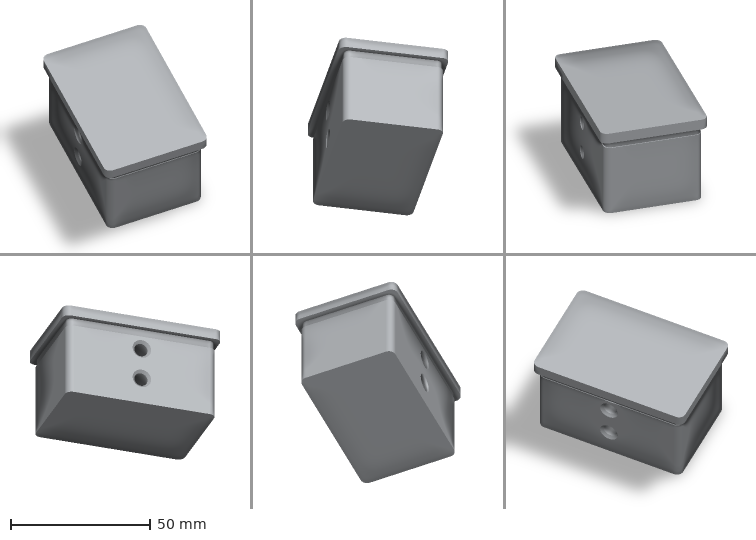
import cadquery as cq

cap_length = 60.0
cap_width = 40.0
total_height = 34.0

body_height = 27.0
neck_height = 3.0
cap_height = total_height - body_height - neck_height

cap_overhang = 1.6
groove_depth = 0.4
corner_radius = 2.5

body_length = cap_length - 2 * cap_overhang
body_width = cap_width - 2 * cap_overhang
neck_length = body_length - 2 * groove_depth
neck_width = body_width - 2 * groove_depth
neck_corner_radius = corner_radius - groove_depth

hole_diameter = 5.0
countersink_diameter = 7.0
countersink_angle = 90.0
hole_spacing = 12.0
lower_hole_height = 10.0
hole_heights = [lower_hole_height, lower_hole_height + hole_spacing]


def rounded_block(length, width, height, base_height, radius):
    """Block centred on the Z axis with rounded vertical edges."""
    return (
        cq.Workplane("XY")
        .workplane(offset=base_height)
        .rect(length, width)
        .extrude(height)
        .edges("|Z")
        .fillet(radius)
    )


def drill_cross_holes(block):
    """Through holes on the centre line of the front face, countersunk at the front."""
    front_face = cq.Plane(origin=(0, -body_width / 2, 0), xDir=(1, 0, 0), normal=(0, -1, 0))
    return (
        block.copyWorkplane(cq.Workplane(front_face))
        .pushPoints([(0, height) for height in hole_heights])
        .cskHole(hole_diameter, countersink_diameter, countersink_angle)
    )


body = rounded_block(body_length, body_width, body_height, 0, corner_radius)
neck = rounded_block(neck_length, neck_width, neck_height, body_height, neck_corner_radius)
cap = rounded_block(cap_length, cap_width, cap_height, body_height + neck_height, corner_radius)

result = drill_cross_holes(body.union(neck).union(cap))